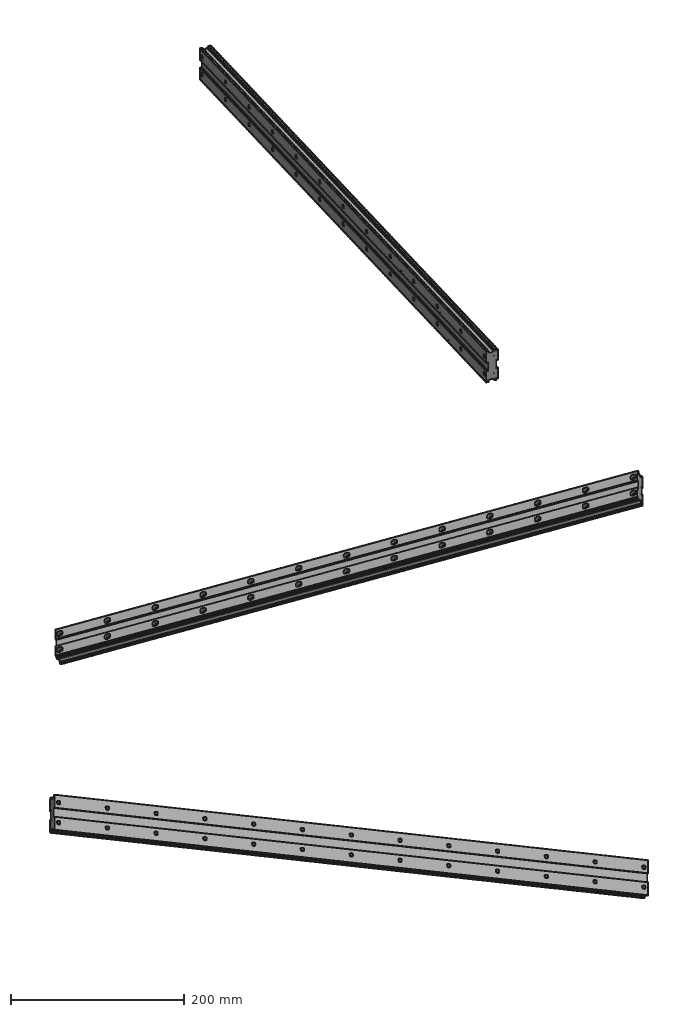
import cadquery as cq

LENGTH = 730.0
THICKNESS = 15.0
HEIGHT = 42.0

CHANNEL_WIDTH = 11.0
CHANNEL_DEPTH = 2.0

SHOULDER_DEPTH = 1.8
RIDGE_BACK_Y = 6.0
RIDGE_FRONT_Y = 3.0
RACEWAY_BACK_Y = 1.5
RACEWAY_ROOT_Y = -1.5
RACEWAY_ROOT_DEPTH = 3.0
RACEWAY_FRONT_Y = -4.75
RACEWAY_FRONT_DEPTH = 1.5

HOLES_PER_ROW = 13
END_DISTANCE = 5.0
ROW_SPACING = 24.0
HOLE_DIAMETER = 4.5
COUNTERBORE_DIAMETER = 7.0
COUNTERBORE_DEPTH = 5.0


def half_body():
    """Upper half of the rail: its cross-section above Z = 0, extruded along X."""
    back = THICKNESS / 2
    front = -THICKNESS / 2
    back_floor = back - CHANNEL_DEPTH
    front_floor = front + CHANNEL_DEPTH
    channel_side = CHANNEL_WIDTH / 2
    side = HEIGHT / 2
    shoulder = side - SHOULDER_DEPTH
    profile = (
        cq.Workplane("YZ")
        .moveTo(back_floor, 0)
        .lineTo(back_floor, channel_side)
        .lineTo(back, channel_side)
        .lineTo(back, shoulder)
        .lineTo(RIDGE_BACK_Y, shoulder)
        .lineTo(RIDGE_BACK_Y, side)
        .lineTo(RIDGE_FRONT_Y, side)
        .lineTo(RIDGE_FRONT_Y, shoulder)
        .lineTo(RACEWAY_BACK_Y, shoulder)
        .threePointArc(
            (RACEWAY_ROOT_Y, side - RACEWAY_ROOT_DEPTH),
            (RACEWAY_FRONT_Y, side - RACEWAY_FRONT_DEPTH),
        )
        .lineTo(RACEWAY_FRONT_Y, side)
        .lineTo(front, side)
        .lineTo(front, channel_side)
        .lineTo(front_floor, channel_side)
        .lineTo(front_floor, 0)
        .close()
    )
    return profile.extrude(LENGTH / 2, both=True)


def rail_body():
    """Join the upper half to its mirror image below Z = 0."""
    upper = half_body()
    return upper.union(upper.mirror("XY")).clean()


def drill_mounting_holes(body):
    """Drill both rows along Y, counterbored from the +Y face."""
    pitch = (LENGTH - 2 * END_DISTANCE) / (HOLES_PER_ROW - 1)
    back_face = cq.Plane(origin=(0, THICKNESS / 2, 0), xDir=(1, 0, 0), normal=(0, 1, 0))
    holes = cq.Workplane(back_face).rarray(pitch, ROW_SPACING, HOLES_PER_ROW, 2)
    through_holes = holes.circle(HOLE_DIAMETER / 2).extrude(-THICKNESS)
    counterbores = holes.circle(COUNTERBORE_DIAMETER / 2).extrude(-COUNTERBORE_DEPTH)
    return body.cut(through_holes).cut(counterbores)


result = drill_mounting_holes(rail_body()).solids()